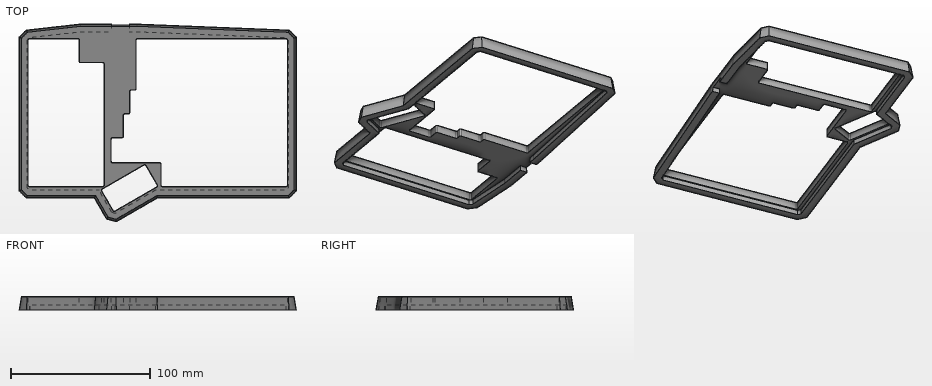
import cadquery as cq
import math

width = 199.0
depth = 141.91
height = 9.8
side_taper = 9.25

half_width = width / 2
back_ridge_y = depth / 2
ridge_left_x = -55.5
ridge_right_x = -15.0
shoulder_y = 66.6
front_y = -53.9
corner_chamfer = 5.1

thumb_angle = 30.0
thumb_length = 36.6
thumb_width = 18.2
thumb_center = (-20.3, -46.8)
lobe_wall = 7.1

opening_half_span = 93.1
opening_back_y = 60.4
opening_front_y = -45.7
opening_corner_radius = 1.0
left_block_x = -56.4
left_block_y = 43.2
left_opening_right_x = -38.5
thumb_shelf_x = 2.4
thumb_shelf_y = -28.6
stair_steps = [(-15.5, 23.5), (-20.1, 6.4), (-24.7, -10.7), (-33.4, thumb_shelf_y)]

plate_thickness = 6.0
pocket_depth = height - plate_thickness
rim_width = 5.6

connector_x = -26.8
connector_width = 12.8


def thumb_point(along, across):
    """Plan position of a point given along and across the tilted thumb opening."""
    angle = math.radians(thumb_angle)
    x = thumb_center[0] + along * math.cos(angle) - across * math.sin(angle)
    y = thumb_center[1] + along * math.sin(angle) + across * math.cos(angle)
    return (x, y)


def outer_outline():
    """Corner points of the base outline, counter-clockwise from the front left."""
    lobe_left = -thumb_length / 2 - lobe_wall
    lobe_front = -thumb_width / 2 - lobe_wall
    angle = math.radians(thumb_angle)
    tilt = math.tan(angle)
    chamfer_end = (-depth / 2 - thumb_center[1] - lobe_front * math.cos(angle)) / math.sin(angle)
    lobe_chamfer = chamfer_end - lobe_left
    chamfer_left = thumb_point(lobe_left, lobe_front + lobe_chamfer)
    chamfer_front = thumb_point(chamfer_end, lobe_front)
    lobe_start_x = chamfer_left[0] - (front_y - chamfer_left[1]) * tilt
    lobe_end_x = chamfer_front[0] + (front_y - chamfer_front[1]) / tilt
    return [
        (-half_width, front_y + corner_chamfer),
        (-half_width + corner_chamfer, front_y),
        (lobe_start_x, front_y),
        chamfer_left,
        chamfer_front,
        (lobe_end_x, front_y),
        (half_width - corner_chamfer, front_y),
        (half_width, front_y + corner_chamfer),
        (half_width, shoulder_y - corner_chamfer),
        (half_width - corner_chamfer, shoulder_y),
        (ridge_right_x, back_ridge_y),
        (ridge_left_x, back_ridge_y),
        (-half_width + corner_chamfer, shoulder_y),
        (-half_width, shoulder_y - corner_chamfer),
    ]


def through_cutter(points):
    """Full-height prism with every upright edge rounded."""
    prism = cq.Workplane("XY").polyline(points).close().extrude(height)
    return prism.edges("|Z").fillet(opening_corner_radius)


def left_opening():
    return through_cutter([
        (-opening_half_span, opening_front_y),
        (left_opening_right_x, opening_front_y),
        (left_opening_right_x, left_block_y),
        (left_block_x, left_block_y),
        (left_block_x, opening_back_y),
        (-opening_half_span, opening_back_y),
    ])


def right_opening():
    points = [
        (thumb_shelf_x, opening_front_y),
        (opening_half_span, opening_front_y),
        (opening_half_span, opening_back_y),
    ]
    step_start_y = opening_back_y
    for step_x, step_end_y in stair_steps:
        points += [(step_x, step_start_y), (step_x, step_end_y)]
        step_start_y = step_end_y
    points.append((thumb_shelf_x, thumb_shelf_y))
    return through_cutter(points)


def thumb_opening():
    half_length = thumb_length / 2
    half_across = thumb_width / 2
    return through_cutter([
        thumb_point(-half_length, -half_across),
        thumb_point(half_length, -half_across),
        thumb_point(half_length, half_across),
        thumb_point(-half_length, half_across),
    ])


def outer_body():
    """Solid block whose walls lean evenly inward from the base outline."""
    top_inset = height * math.tan(math.radians(side_taper))
    base = cq.Workplane("XY").polyline(outer_outline()).close().wires().val()
    top = base.offset2D(-top_inset, "intersection")[0].translate(cq.Vector(0, 0, height))
    return cq.Workplane(cq.Solid.makeLoft([base, top], True))


def underside_pocket():
    """Hollow below the plate, leaving a rim of even width inside the outline."""
    outline = cq.Workplane("XY").polyline(outer_outline()).close()
    return outline.offset2D(-rim_width, "intersection").extrude(pocket_depth)


def connector_gap():
    """Gap from the pocket out through the back wall."""
    gap_length = 2 * rim_width
    gap = cq.Workplane("XY").box(connector_width, gap_length, pocket_depth, centered=(True, True, False))
    return gap.translate((connector_x, back_ridge_y - rim_width / 2, 0))


frame = outer_body()
frame = frame.cut(underside_pocket())
frame = frame.cut(connector_gap())
for opening in (left_opening(), right_opening(), thumb_opening()):
    frame = frame.cut(opening)

result = frame